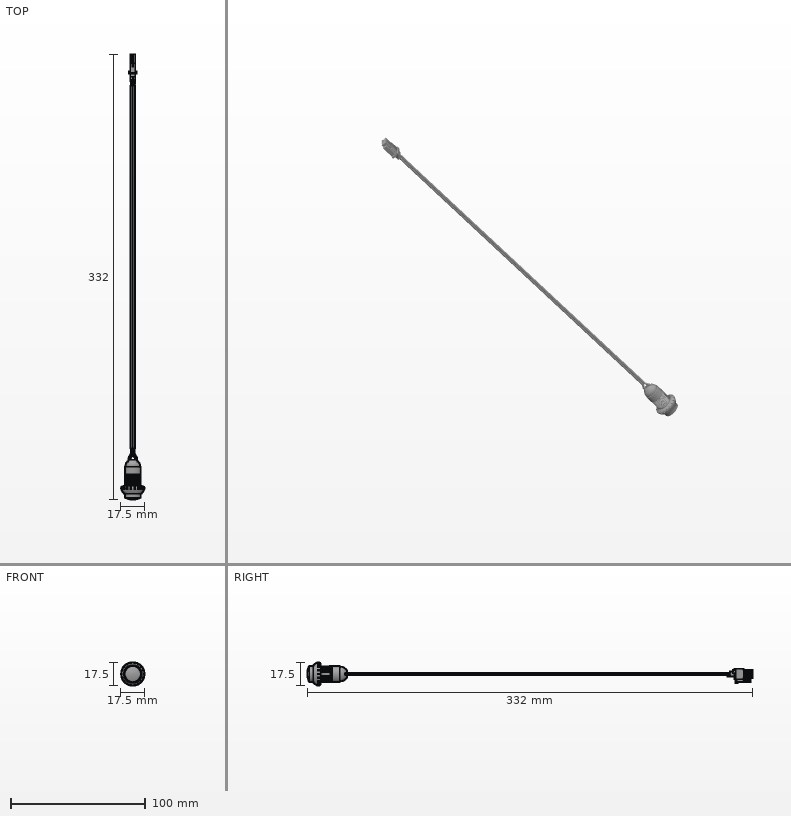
import cadquery as cq
import math

TOTAL_LENGTH = 332.0

BEZEL_RADIUS = 17.5 / 2
BEZEL_END_RADIUS = 13.3 / 2
BEZEL_FLANK_RADIUS = 8.3
NOTCH_ROOT_RADIUS = 16.0 / 2
BARREL_RADIUS = 12.0 / 2
THREAD_ROOT_RADIUS = 10.5 / 2
CAP_RADIUS = 11.0 / 2
CAP_NECK_RADIUS = THREAD_ROOT_RADIUS
CAP_SHOULDER_RADIUS = 4.3
CAP_END_RADIUS = 2.5

LENS_HEIGHT = 1.5
BEZEL_FRONT_Y = 4.5
BEZEL_FLANK_Y = 7.0
BEZEL_RIM_Y = 8.5
BEZEL_REAR_Y = 10.3
THREAD_FRONT_Y = 11.0
THREAD_PITCH = 1.0
THREAD_TURNS = 8
BARREL_END_Y = 24.5
CAP_RIM_Y = 26.0
CAP_SHOULDER_Y = 28.2
CAP_END_Y = 30.0

LENS_WALL = 1.15
LENS_STEP_RADII = [2.5 / 2, 5.3 / 2, 7.3 / 2, 8.5 / 2]
LENS_HOLLOW_REAR_Y = BEZEL_FRONT_Y

NOTCH_COUNT = 18
NOTCH_WIDTH = 0.5
NOTCH_FRONT_Y = 8.0
SLOT_WIDTH = 2.3
SLOT_DEPTH = 1.0
SLOT_REAR_Y = 17.3

JACKET_DIAMETER = 1.75
WIRE_DIAMETER = 1.6
WIRE_OFFSET = 0.83
LAMP_WIRE_OFFSET = 2.5
PLUG_WIRE_OFFSET = 1.0
JACKET_FRONT_Y = 38.5
JACKET_REAR_Y = 308.5
LAMP_BEND_REAR_Y = 34.5
LAMP_BEND_FRONT_Y = CAP_END_Y
WIRE_DEPTH_IN_LAMP = 1.5
WIRE_FRONT_Y = CAP_END_Y - WIRE_DEPTH_IN_LAMP
PLUG_BEND_REAR_Y = 316.2

COLLAR_FRONT_Y = 315.2
SHOULDER_FRONT_Y = 317.5
BODY_FRONT_Y = 318.5
FLANGE_REAR_Y = 319.5
NOSE_FRONT_Y = 325.5
WIRE_DEPTH_IN_BODY = 0.5
WIRE_REAR_Y = BODY_FRONT_Y + WIRE_DEPTH_IN_BODY

PLUG_WIDTH = 4.0
COLLAR_HEIGHT = 4.0
BODY_HEIGHT = 8.0
NOSE_HEIGHT = 6.0
FLANGE_WIDTH = 6.0
SHOULDER_BOTTOM_Z = 0.5
TONGUE_LENGTH = 2.0
TONGUE_THICKNESS = 1.0

RIB_PITCH = 2.0
GROOVE_WIDTH = RIB_PITCH / 2
GROOVE_DEPTH = 0.3
TOP_GROOVE_FRONT_Y = 323.0
TOP_GROOVE_FLOOR_Z = 2.0

LATCH_FRONT_Y = 320.2
LATCH_REAR_Y = 330.8
LATCH_GAP = 0.3
LATCH_THICKNESS = 1.5
LATCH_WIDTH = 3.3
LATCH_TAIL_LENGTH = 1.5
LATCH_TAIL_DROP = 1.0


def box(width, y_start, y_end, z_bottom, z_top, x_center=0.0):
    """A block centred on x_center, between two stations along Y and two heights."""
    return cq.Workplane("XY").box(
        width, y_end - y_start, z_top - z_bottom, centered=(True, False, False)
    ).translate((x_center, y_start, z_bottom))


def rod(diameter, y_start, y_end, x_center=0.0):
    """A round rod parallel to Y."""
    return (
        cq.Workplane("XZ", origin=(x_center, y_start, 0))
        .circle(diameter / 2)
        .extrude(y_start - y_end)
    )



def lens_y(radius):
    """Y of the spherical lens surface at a distance from the lamp axis."""
    sphere_radius = (BARREL_RADIUS**2 + LENS_HEIGHT**2) / (2 * LENS_HEIGHT)
    return sphere_radius - math.sqrt(sphere_radius**2 - radius**2)


def lamp_blank():
    """The turned shape: lens dome, head, rounded bezel, thread, barrel and end cap."""
    mid_radius = BARREL_RADIUS / 2
    bezel_curve = [
        (BEZEL_FRONT_Y, BEZEL_END_RADIUS),
        (BEZEL_FLANK_Y, BEZEL_FLANK_RADIUS),
        (BEZEL_RIM_Y, BEZEL_RADIUS),
        (BEZEL_REAR_Y, BEZEL_END_RADIUS),
    ]
    cap_curve = [
        (BARREL_END_Y, CAP_NECK_RADIUS),
        (CAP_RIM_Y, CAP_RADIUS),
        (CAP_SHOULDER_Y, CAP_SHOULDER_RADIUS),
        (CAP_END_Y, CAP_END_RADIUS),
    ]

    profile = (
        cq.Workplane("YZ")
        .moveTo(0, 0)
        .threePointArc((lens_y(mid_radius), mid_radius), (LENS_HEIGHT, BARREL_RADIUS))
        .lineTo(BEZEL_FRONT_Y, BARREL_RADIUS)
        .lineTo(*bezel_curve[0])
        .spline(bezel_curve[1:], includeCurrent=True)
        .lineTo(BEZEL_REAR_Y, BARREL_RADIUS)
        .lineTo(THREAD_FRONT_Y, BARREL_RADIUS)
    )
    for turn in range(THREAD_TURNS):
        crest_y = THREAD_FRONT_Y + turn * THREAD_PITCH
        profile = profile.lineTo(crest_y + THREAD_PITCH / 2, THREAD_ROOT_RADIUS)
        profile = profile.lineTo(crest_y + THREAD_PITCH, BARREL_RADIUS)
    profile = (
        profile.lineTo(BARREL_END_Y, BARREL_RADIUS)
        .lineTo(*cap_curve[0])
        .spline(cap_curve[1:], includeCurrent=True)
        .lineTo(CAP_END_Y, 0)
        .close()
    )
    return profile.revolve(360, (0, 0), (1, 0))


def lens_hollow():
    """Stepped hollow that follows the dome and leaves a thin lens wall."""
    hollow = cq.Workplane("XY")
    for radius in LENS_STEP_RADII:
        hollow = hollow.union(rod(2 * radius, lens_y(radius) + LENS_WALL, LENS_HOLLOW_REAR_Y))
    return hollow


def grip_notches():
    """Notches around the bezel rim, cut from its rear side."""
    notch_top = BEZEL_RADIUS + NOTCH_WIDTH
    notch = box(NOTCH_WIDTH, NOTCH_FRONT_Y, BEZEL_REAR_Y, NOTCH_ROOT_RADIUS, notch_top)
    step = 360 / NOTCH_COUNT
    cutters = cq.Workplane("XY")
    for index in range(NOTCH_COUNT):
        cutters = cutters.union(notch.rotate((0, 0, 0), (0, 1, 0), (index + 0.5) * step))
    return cutters


def key_slots():
    """Flat-bottomed slots on both sides of the thread, open towards the bezel."""
    slots = cq.Workplane("XY")
    for side in (-1, 1):
        x_center = side * BARREL_RADIUS
        slots = slots.union(
            box(2 * SLOT_DEPTH, BEZEL_REAR_Y, SLOT_REAR_Y, -SLOT_WIDTH / 2, SLOT_WIDTH / 2, x_center)
        )
    return slots


def make_lamp(cable):
    """The lamp with its hollow, notches and slots, bored for the two wires."""
    lamp = lamp_blank().cut(lens_hollow()).cut(grip_notches()).cut(key_slots())
    return lamp.cut(cable)



def make_wire(side):
    """One wire: spread into the lamp cap, straight in the jacket, spread into the plug."""
    x_lamp = side * LAMP_WIRE_OFFSET
    x_jacket = side * WIRE_OFFSET
    x_plug = side * PLUG_WIRE_OFFSET
    path = (
        cq.Workplane("XY")
        .moveTo(x_lamp, WIRE_FRONT_Y)
        .lineTo(x_lamp, LAMP_BEND_FRONT_Y)
        .spline([(x_jacket, LAMP_BEND_REAR_Y)], tangents=[(0, 1), (0, 1)], includeCurrent=True)
        .lineTo(x_jacket, JACKET_REAR_Y)
        .spline([(x_plug, PLUG_BEND_REAR_Y)], tangents=[(0, 1), (0, 1)], includeCurrent=True)
        .lineTo(x_plug, WIRE_REAR_Y)
    )
    return (
        cq.Workplane("XZ", origin=(x_lamp, WIRE_FRONT_Y, 0))
        .circle(WIRE_DIAMETER / 2)
        .sweep(path)
    )


def make_cable():
    """Two wires joined by a figure-eight jacket."""
    cable = rod(JACKET_DIAMETER, JACKET_FRONT_Y, JACKET_REAR_Y, -WIRE_OFFSET)
    cable = cable.union(rod(JACKET_DIAMETER, JACKET_FRONT_Y, JACKET_REAR_Y, WIRE_OFFSET))
    for side in (-1, 1):
        cable = cable.union(make_wire(side))
    return cable



def plug_blank():
    """Wire collar with a tongue, shoulder, flange, main block and nose."""
    collar_top = COLLAR_HEIGHT / 2
    body_top = BODY_HEIGHT / 2
    nose_top = NOSE_HEIGHT / 2
    tongue_top = TONGUE_THICKNESS - collar_top
    tongue_front_y = COLLAR_FRONT_Y - TONGUE_LENGTH
    plug = box(PLUG_WIDTH, BODY_FRONT_Y, NOSE_FRONT_Y, -body_top, body_top)
    plug = plug.union(box(PLUG_WIDTH, NOSE_FRONT_Y, TOTAL_LENGTH, -nose_top, nose_top))
    plug = plug.union(box(FLANGE_WIDTH, BODY_FRONT_Y, FLANGE_REAR_Y, -body_top, body_top))
    plug = plug.union(box(FLANGE_WIDTH, SHOULDER_FRONT_Y, BODY_FRONT_Y, SHOULDER_BOTTOM_Z, nose_top))
    plug = plug.union(box(PLUG_WIDTH, COLLAR_FRONT_Y, BODY_FRONT_Y, -collar_top, collar_top))
    return plug.union(box(PLUG_WIDTH, tongue_front_y, COLLAR_FRONT_Y, -collar_top, tongue_top))


def side_grooves():
    """Grooves along both sides of the nose, leaving ribs between them."""
    grooves = cq.Workplane("XY")
    for side in (-1, 1):
        for level in (-1, 0, 1):
            bottom = level * RIB_PITCH - GROOVE_WIDTH / 2
            top = bottom + GROOVE_WIDTH
            x_center = side * PLUG_WIDTH / 2
            grooves = grooves.union(
                box(2 * GROOVE_DEPTH, NOSE_FRONT_Y, TOTAL_LENGTH, bottom, top, x_center)
            )
    return grooves


def top_groove():
    """Central groove along the top of the main block and nose."""
    return box(GROOVE_WIDTH, TOP_GROOVE_FRONT_Y, TOTAL_LENGTH, TOP_GROOVE_FLOOR_Z, BODY_HEIGHT / 2)


def latch():
    """Spring arm held below the block by a short neck, with a drooping thumb tail."""
    block_bottom = -BODY_HEIGHT / 2
    top = block_bottom - LATCH_GAP
    bottom = top - LATCH_THICKNESS
    tail_rear_y = LATCH_FRONT_Y + LATCH_TAIL_LENGTH / 2
    tail_front_y = tail_rear_y - LATCH_TAIL_LENGTH
    arm = box(LATCH_WIDTH, LATCH_FRONT_Y, LATCH_REAR_Y, bottom, top)
    neck = box(LATCH_WIDTH, LATCH_FRONT_Y, NOSE_FRONT_Y, top, block_bottom)
    tail = box(LATCH_WIDTH, tail_front_y, tail_rear_y, bottom - LATCH_TAIL_DROP, bottom + LATCH_TAIL_DROP)
    return arm.union(neck).union(tail)


def make_plug(cable):
    """The plug with its grooves and latch, bored for the two wires."""
    plug = plug_blank().cut(side_grooves()).cut(top_groove())
    return plug.union(latch()).cut(cable)


cable = make_cable()
lamp = make_lamp(cable)
plug = make_plug(cable)

result = cq.Compound.makeCompound([lamp.val(), cable.val(), plug.val()])